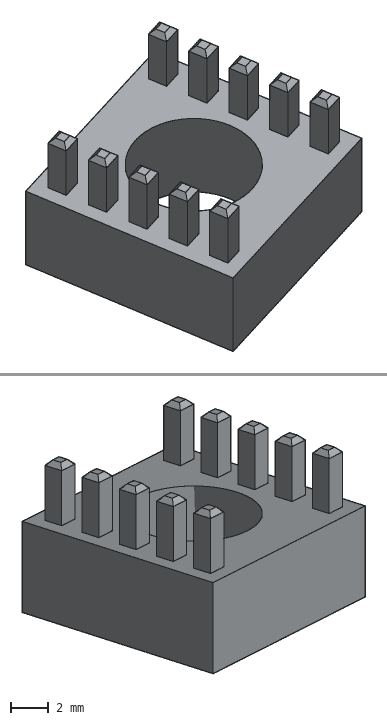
import cadquery as cq

body_side = 13.0
body_height = 5.3
hole_diameter = 7.3

total_height = 8.8
pins_per_row = 5
row_count = 2
pin_pitch = 2.54
row_spacing = 4 * pin_pitch
pin_width = 1.15
pin_tip_chamfer = 0.3
pin_height = total_height - body_height


def make_body():
    block = cq.Workplane("XY").box(body_side, body_side, body_height, centered=(True, True, False))
    return block.faces(">Z").workplane().hole(hole_diameter)


def make_pins():
    pins = (
        cq.Workplane("XY")
        .workplane(offset=body_height)
        .rarray(pin_pitch, row_spacing, pins_per_row, row_count)
        .rect(pin_width, pin_width)
        .extrude(pin_height)
    )
    return pins.faces(">Z").edges().chamfer(pin_tip_chamfer)


result = make_body().union(make_pins())